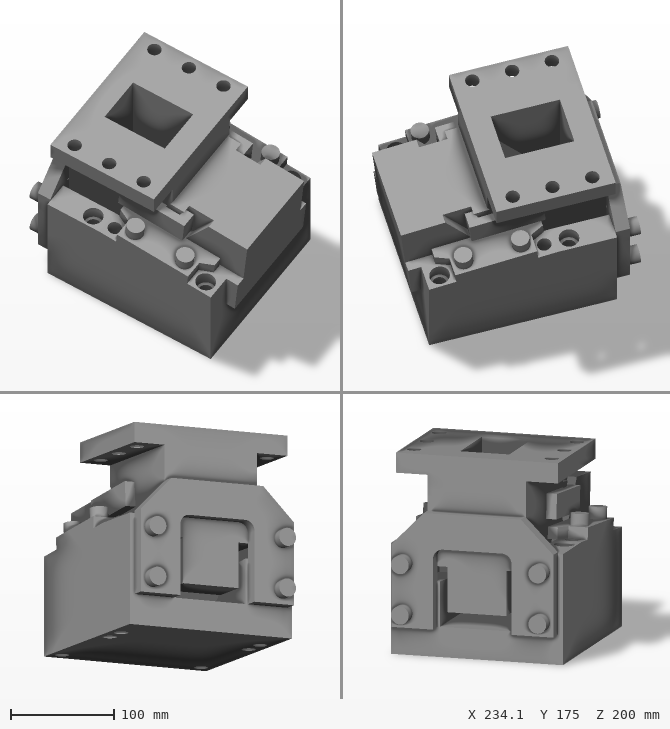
import cadquery as cq
import math

BASE_LENGTH = 190.0
BASE_WIDTH = 175.0
BASE_HEIGHT = 110.0
TOTAL_HEIGHT = 200.0

RAMP_START = 60.0
RAMP_ANGLE = 5.0
CONTACT_ANGLE = 60.0

PLATE_THICKNESS = 14.5
PLATE_WIDTH = 165.0
PLATE_BOTTOM = 30.0
PLATE_TOP = 145.0
PLATE_CHAMFER = 33.0
PLATE_RECESS_DEPTH = 0.6
PLATE_RECESS_WIDTH = 105.0
WINDOW_WIDTH = 80.0
WINDOW_TOP = 110.0
WINDOW_RADIUS = 10.0
HEAD_DIAMETER = 18.0
HEAD_HEIGHT = 12.0
PLATE_SCREW_Y = 70.0
PLATE_SCREW_LEVELS = (44.5, 94.5)

HOLE_Y = 75.0
HOLE_DIAMETER = 14.0
COUNTERBORE_DIAMETER = 20.0
COUNTERBORE_DEPTH = 14.0
COUNTERBORED_HOLE_X = (45.0, 175.8)
PLAIN_HOLE_X = 70.0

HEAD_LENGTH = 120.5
HEAD_WIDTH = 165.0
HEAD_THICKNESS = 20.0
WEB_WIDTH = 100.0
WEB_BOTTOM = 90.0
TOE_WIDTH = 60.0
TOE_BOTTOM = 45.0
HEAD_HOLE_X = (20.0, 60.2, 100.4)
HEAD_HOLE_Y = 70.0
POCKET_START = 25.0
POCKET_LENGTH = 70.0
POCKET_WIDTH = 50.0
POCKET_FLOOR = 100.0
POCKET_RAMP_TOP = 165.0

WEDGE_END = 143.77
WEDGE_TOP = 50.0
WEDGE_TOP_LENGTH = 90.2
FLANGE_WIDTH = 120.0
FLANGE_DEPTH = 40.0
FLANGE_NOSE_X = 69.2
TONGUE_WIDTH = 68.0
TONGUE_DEPTH = 74.5
TONGUE_START = -2.0
TONGUE_END = 26.0
TONGUE_RADIUS = 14.0

GROOVE_WIDTH = 25.0
GROOVE_FLOOR_WIDTH = 81.5
GROOVE_BOTTOM_HEIGHT = 20.0
GROOVE_TOP_STATION = 84.4

HOOK_START = 2.6
HOOK_LENGTH = 75.0
HOOK_BOTTOM = 20.0
HOOK_HEIGHT = 25.0
HOOK_OUTER_WIDTH = 121.0
HOOK_INNER_WIDTH = 104.0
HOOK_LIP_WIDTH = 87.0

GIB_START = 6.4
GIB_LENGTH = 110.0
GIB_THICKNESS = 12.0
GIB_INNER_WIDTH = 102.0
GIB_NOTCH_LENGTH = 13.5
GIB_NOTCH_INNER_Y = 61.0
GIB_NOTCH_OUTER_Y = 67.5
GIB_SCREW_SPACING = 58.0

SLOT_WIDTH = 75.0
SLOT_END = 52.0

SLOPE_TAN = math.tan(math.radians(RAMP_ANGLE))
SLOPE_COS = math.cos(math.radians(RAMP_ANGLE))
SLOPE_SIN = math.sin(math.radians(RAMP_ANGLE))
CONTACT_RUN = 1 / math.tan(math.radians(CONTACT_ANGLE))
CONTACT_RISE = math.tan(math.radians(CONTACT_ANGLE - RAMP_ANGLE))
WEDGE_TOP_START = WEDGE_END - WEDGE_TOP_LENGTH

RAMP_ORIGIN = (RAMP_START, 0, BASE_HEIGHT)
RAMP_DIRECTION = (SLOPE_COS, 0, -SLOPE_SIN)
RAMP_SIDE = cq.Plane(origin=RAMP_ORIGIN, xDir=RAMP_DIRECTION, normal=(0, -1, 0))
RAMP_FACE = cq.Plane(origin=RAMP_ORIGIN, xDir=RAMP_DIRECTION, normal=(SLOPE_SIN, 0, SLOPE_COS))


def box(x_range, width, z_range):
    """Block centred on Y = 0."""
    length = x_range[1] - x_range[0]
    height = z_range[1] - z_range[0]
    block = cq.Workplane("XY").box(length, width, height, centered=(False, True, False))
    return block.translate((x_range[0], 0, z_range[0]))


def side_profile(points, width, plane="XZ"):
    """Closed side outline made into a body of the given width, centred on Y = 0."""
    return cq.Workplane(plane).polyline(points).close().extrude(width / 2, both=True)


def ramp_block(stations, width, heights):
    """Block square to the ramp, centred on Y = 0."""
    (start, end), (low, high) = stations, heights
    return side_profile([(start, low), (end, low), (end, high), (start, high)], width, RAMP_SIDE)


def contact_station(height):
    """Station of the contact face at a height above the ramp."""
    return WEDGE_TOP_START - (WEDGE_TOP - height) * CONTACT_RUN


def contact_x(z):
    """X of the contact face at a level Z."""
    top_x = RAMP_START + WEDGE_TOP_START * SLOPE_COS + WEDGE_TOP * SLOPE_SIN
    top_z = BASE_HEIGHT - WEDGE_TOP_START * SLOPE_SIN + WEDGE_TOP * SLOPE_COS
    return top_x - (top_z - z) / CONTACT_RISE


def groove_outline(width):
    """Slanted groove profile with a round lower end, centred on Y = 0."""
    radius = GROOVE_WIDTH / 2
    across = (
        radius * math.sin(math.radians(CONTACT_ANGLE)),
        -radius * math.cos(math.radians(CONTACT_ANGLE)),
    )
    upper_height = 2 * WEDGE_TOP - GROOVE_BOTTOM_HEIGHT
    rise = upper_height - GROOVE_BOTTOM_HEIGHT
    lower = (
        GROOVE_TOP_STATION - (WEDGE_TOP - GROOVE_BOTTOM_HEIGHT) * CONTACT_RUN,
        GROOVE_BOTTOM_HEIGHT,
    )
    upper = (lower[0] + rise * CONTACT_RUN, upper_height)
    round_end = (
        lower[0] - radius * math.cos(math.radians(CONTACT_ANGLE)),
        lower[1] - radius * math.sin(math.radians(CONTACT_ANGLE)),
    )
    return (
        cq.Workplane(RAMP_SIDE)
        .moveTo(upper[0] - across[0], upper[1] - across[1])
        .lineTo(lower[0] - across[0], lower[1] - across[1])
        .threePointArc(round_end, (lower[0] + across[0], lower[1] + across[1]))
        .lineTo(upper[0] + across[0], upper[1] + across[1])
        .close()
        .extrude(width / 2, both=True)
    )


def base_block():
    ramp_end_z = BASE_HEIGHT - (BASE_LENGTH - RAMP_START) * SLOPE_TAN
    outline = [
        (0, 0),
        (BASE_LENGTH, 0),
        (BASE_LENGTH, ramp_end_z),
        (RAMP_START, BASE_HEIGHT),
        (0, BASE_HEIGHT),
    ]
    return side_profile(outline, BASE_WIDTH)


def wedge_slot():
    """Wide slot for the wedge flange, and a narrower blind slot below it for the tongue."""
    reach = 2 * BASE_LENGTH
    inside = box((0, reach), BASE_WIDTH, (PLATE_BOTTOM, TOTAL_HEIGHT))
    wide = ramp_block((-reach, reach), FLANGE_WIDTH, (-FLANGE_DEPTH, BASE_HEIGHT))
    narrow = ramp_block((-reach, SLOT_END), SLOT_WIDTH, (-reach, 0))
    return wide.union(narrow).intersect(inside)


def retaining_plate():
    plate = box((-PLATE_THICKNESS, 0), PLATE_WIDTH, (PLATE_BOTTOM, PLATE_TOP))
    plate = plate.edges("|X and >Z").chamfer(PLATE_CHAMFER)
    recess = box((-PLATE_RECESS_DEPTH, 0), PLATE_RECESS_WIDTH, (BASE_HEIGHT, PLATE_TOP))
    window = box((-PLATE_THICKNESS, 0), WINDOW_WIDTH, (PLATE_BOTTOM, WINDOW_TOP))
    window = window.edges("|X and >Z").fillet(WINDOW_RADIUS)
    heads = (
        cq.Workplane("YZ", origin=(-PLATE_THICKNESS, 0, 0))
        .pushPoints([(side * PLATE_SCREW_Y, z) for side in (-1, 1) for z in PLATE_SCREW_LEVELS])
        .circle(HEAD_DIAMETER / 2)
        .extrude(-HEAD_HEIGHT)
    )
    return plate.cut(recess).cut(window).union(heads)


def gib(side):
    """Notched clamping strip on one side (side = -1 or 1), with its two screw heads."""
    end = GIB_START + GIB_LENGTH
    half = [
        (GIB_START, GIB_INNER_WIDTH / 2),
        (GIB_START, GIB_NOTCH_INNER_Y),
        (GIB_START + GIB_NOTCH_LENGTH, GIB_NOTCH_OUTER_Y),
        (GIB_START + GIB_NOTCH_LENGTH, BASE_WIDTH / 2),
    ]
    mirrored = [(GIB_START + end - station, y) for station, y in reversed(half)]
    outline = [(station, side * y) for station, y in half + mirrored]
    strip = cq.Workplane(RAMP_FACE).polyline(outline).close().extrude(GIB_THICKNESS)
    middle = GIB_START + GIB_LENGTH / 2
    heads = (
        cq.Workplane(RAMP_FACE)
        .pushPoints([(middle + step * GIB_SCREW_SPACING / 2, side * HOLE_Y) for step in (-1, 1)])
        .circle(HEAD_DIAMETER / 2)
        .extrude(GIB_THICKNESS + HEAD_HEIGHT)
    )
    return strip.union(heads)


def base_holes():
    """Counterbored and plain holes down through the base, counterbores sunk from the top face."""

    def cylinders(xs, diameter, bottom):
        points = [(x, side * HOLE_Y) for x in xs for side in (-1, 1)]
        start = cq.Workplane("XY", origin=(0, 0, bottom))
        return start.pushPoints(points).circle(diameter / 2).extrude(TOTAL_HEIGHT)

    drilled = cylinders(COUNTERBORED_HOLE_X + (PLAIN_HOLE_X,), HOLE_DIAMETER, 0)
    for x in COUNTERBORED_HOLE_X:
        drop = max(0, x - RAMP_START) * SLOPE_TAN
        floor = BASE_HEIGHT - drop - COUNTERBORE_DEPTH
        drilled = drilled.union(cylinders((x,), COUNTERBORE_DIAMETER, floor))
    return drilled


def make_base():
    body = base_block().cut(wedge_slot()).cut(base_holes()).union(retaining_plate())
    for side in (-1, 1):
        body = body.union(gib(side), clean=False)
    return body


def make_wedge():
    upper = side_profile(
        [
            (contact_station(0), 0),
            (WEDGE_END, 0),
            (WEDGE_END, WEDGE_TOP),
            (WEDGE_TOP_START, WEDGE_TOP),
        ],
        WEB_WIDTH,
        RAMP_SIDE,
    ).cut(groove_outline(WEB_WIDTH).cut(groove_outline(GROOVE_FLOOR_WIDTH)))

    flange_outline = [
        (contact_station(-FLANGE_DEPTH), -FLANGE_DEPTH),
        (WEDGE_END, -FLANGE_DEPTH),
        (WEDGE_END, 0),
        (contact_station(0), 0),
    ]
    behind_nose = box((FLANGE_NOSE_X, 2 * BASE_LENGTH), FLANGE_WIDTH, (0, TOTAL_HEIGHT))
    flange = side_profile(flange_outline, FLANGE_WIDTH, RAMP_SIDE).intersect(behind_nose)
    core = side_profile(flange_outline, TONGUE_WIDTH, RAMP_SIDE)

    flange_bottom_start = contact_station(-FLANGE_DEPTH)
    nose_height = -FLANGE_DEPTH - (flange_bottom_start - TONGUE_START) / CONTACT_RUN
    tongue = side_profile(
        [
            (TONGUE_START, -TONGUE_DEPTH),
            (TONGUE_END, -TONGUE_DEPTH),
            (TONGUE_END, -FLANGE_DEPTH),
            (flange_bottom_start, -FLANGE_DEPTH),
            (TONGUE_START, nose_height),
        ],
        TONGUE_WIDTH,
        RAMP_SIDE,
    )
    underside = tongue.faces(cq.selectors.DirectionMinMaxSelector(RAMP_FACE.zDir, False))
    lower_sides = underside.edges(cq.selectors.ParallelDirSelector(RAMP_FACE.xDir))
    tongue = lower_sides.fillet(TONGUE_RADIUS)
    return upper.union(flange).union(core).union(tongue)


def slanted_back(width, bottom, top):
    """Block behind the contact face between two levels, no longer than the head plate."""
    outline = [(0, bottom), (contact_x(bottom), bottom), (contact_x(top), top), (0, top)]
    block = side_profile(outline, width)
    return block.intersect(box((0, HEAD_LENGTH), width, (bottom, top)))


def hooks():
    """Side arms beside the wedge whose lips reach into its grooves."""
    stations = (HOOK_START, HOOK_START + HOOK_LENGTH)
    heights = (HOOK_BOTTOM, HOOK_BOTTOM + HOOK_HEIGHT)
    arms = ramp_block(stations, HOOK_OUTER_WIDTH, heights)
    lips = arms.intersect(groove_outline(HOOK_INNER_WIDTH)).cut(groove_outline(HOOK_LIP_WIDTH))
    inner = ramp_block(stations, HOOK_INNER_WIDTH, heights)
    root = inner.intersect(slanted_back(HOOK_INNER_WIDTH, WEB_BOTTOM, TOTAL_HEIGHT))
    return arms.cut(inner).union(lips).union(root)


def make_slider():
    head_bottom = TOTAL_HEIGHT - HEAD_THICKNESS
    body = box((0, HEAD_LENGTH), HEAD_WIDTH, (head_bottom, TOTAL_HEIGHT))
    body = body.union(slanted_back(WEB_WIDTH, WEB_BOTTOM, head_bottom))
    body = body.union(slanted_back(TOE_WIDTH, TOE_BOTTOM, WEB_BOTTOM)).union(hooks())

    pocket_end = POCKET_START + POCKET_LENGTH
    floor_end = pocket_end - (POCKET_RAMP_TOP - POCKET_FLOOR) / CONTACT_RISE
    pocket = side_profile(
        [
            (POCKET_START, POCKET_FLOOR),
            (floor_end, POCKET_FLOOR),
            (pocket_end, POCKET_RAMP_TOP),
            (pocket_end, TOTAL_HEIGHT),
            (POCKET_START, TOTAL_HEIGHT),
        ],
        POCKET_WIDTH,
    )
    holes = (
        cq.Workplane("XY", origin=(0, 0, head_bottom))
        .pushPoints([(x, side * HEAD_HOLE_Y) for x in HEAD_HOLE_X for side in (-1, 1)])
        .circle(HOLE_DIAMETER / 2)
        .extrude(HEAD_THICKNESS)
    )
    return body.cut(pocket).cut(holes)


base = make_base()
wedge = make_wedge()
slider = make_slider()

result = cq.Compound.makeCompound([base.val(), wedge.val(), slider.val()])